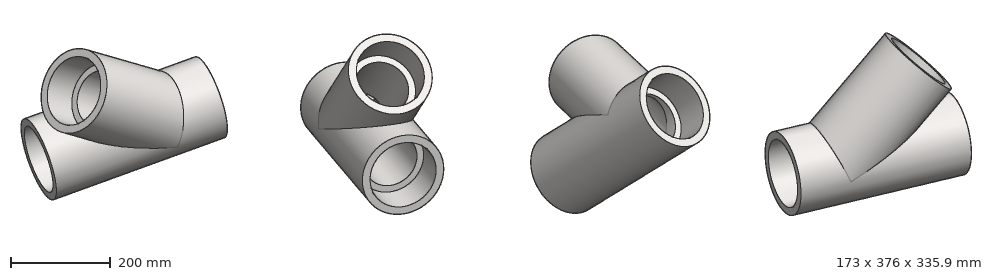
import cadquery as cq

run_length = 376.0
outer_diameter = 173.0
socket_diameter = 140.2
bore_diameter = 112.0
socket_depth = 76.5
branch_length = 266.2
branch_angle = 45.0
junction_to_back = 110.0

front_plane = cq.Plane(
    origin=(0, junction_to_back - run_length, 0), xDir=(1, 0, 0), normal=(0, 1, 0)
)
back_plane = cq.Plane(origin=(0, junction_to_back, 0), xDir=(1, 0, 0), normal=(0, -1, 0))
branch_plane = cq.Plane(origin=(0, 0, 0), xDir=(1, 0, 0), normal=(0, -1, 0)).rotated(
    (-branch_angle, 0, 0)
)
branch_mouth = cq.Plane(
    origin=branch_plane.toWorldCoords((0, 0, branch_length)).toTuple(),
    xDir=(1, 0, 0),
    normal=-branch_plane.zDir,
)


def cylinder(plane, diameter, length):
    """Solid cylinder standing on the plane, along its normal."""
    return cq.Workplane(plane).circle(diameter / 2).extrude(length)


body = cylinder(back_plane, outer_diameter, run_length)
body = body.union(cylinder(branch_plane, outer_diameter, branch_length))

body = body.cut(cylinder(back_plane, bore_diameter, run_length))
body = body.cut(cylinder(branch_plane, bore_diameter, branch_length))

for mouth in (front_plane, back_plane, branch_mouth):
    body = body.cut(cylinder(mouth, socket_diameter, socket_depth))

result = body